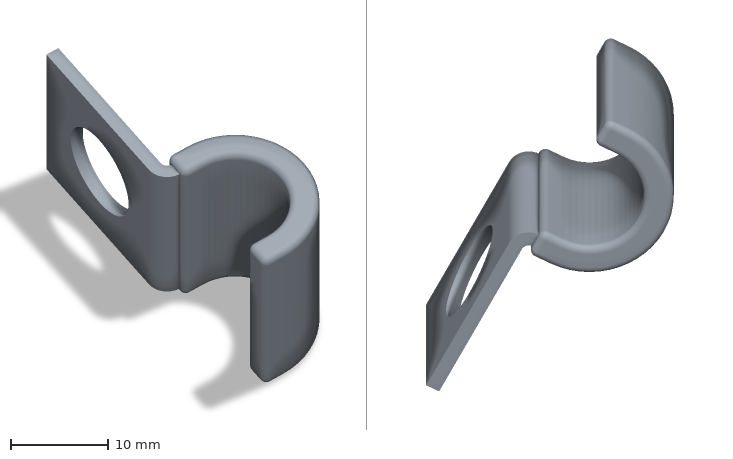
import cadquery as cq

length = 35.65
depth = 13.45
cushion_height = 20.65

sheet = 1.5
cover = 0.8
cushion_thickness = sheet + 2 * cover
outer_radius = 8.65
inner_radius = outer_radius - cushion_thickness
right_leg_length = 2.42
left_leg_length = 2.53
edge_radius = 0.75

tab_height = cushion_height - 2 * cover
hole_diameter = 10.35
hole_x = tab_height / 2
bend_inner_radius = cover
bend_outer_radius = bend_inner_radius + sheet

ring_x = length - outer_radius
ring_y = depth - outer_radius
right_leg_end_y = ring_y - right_leg_length
left_leg_end_y = ring_y - left_leg_length
strap_outer_x = ring_x - outer_radius + cover
strap_inner_x = strap_outer_x + sheet


def make_cushion():
    """U-shaped cushion with every sharp edge rounded."""
    profile = (
        cq.Workplane("XY")
        .workplane(offset=-cushion_height / 2)
        .moveTo(ring_x - outer_radius, left_leg_end_y)
        .lineTo(ring_x - outer_radius, ring_y)
        .threePointArc((ring_x, ring_y + outer_radius), (ring_x + outer_radius, ring_y))
        .lineTo(ring_x + outer_radius, right_leg_end_y)
        .lineTo(ring_x + inner_radius, right_leg_end_y)
        .lineTo(ring_x + inner_radius, ring_y)
        .threePointArc((ring_x, ring_y + inner_radius), (ring_x - inner_radius, ring_y))
        .lineTo(ring_x - inner_radius, left_leg_end_y)
        .close()
    )
    body = profile.extrude(cushion_height)
    return body.faces("|Z or -Y").edges().fillet(edge_radius)


def make_strap():
    """Flat tab bent back into the end of the left cushion leg."""
    strap = (
        cq.Workplane("XY")
        .workplane(offset=-tab_height / 2)
        .lineTo(strap_inner_x - bend_outer_radius, 0)
        .radiusArc((strap_inner_x, bend_outer_radius), -bend_outer_radius)
        .lineTo(strap_inner_x, ring_y)
        .lineTo(strap_outer_x, ring_y)
        .lineTo(strap_outer_x, bend_outer_radius)
        .radiusArc((strap_outer_x - bend_inner_radius, sheet), bend_inner_radius)
        .lineTo(0, sheet)
        .close()
        .extrude(tab_height)
    )
    hole = (
        cq.Workplane("XZ")
        .center(hole_x, 0)
        .circle(hole_diameter / 2)
        .extrude(-sheet)
    )
    return strap.cut(hole)


result = make_cushion().union(make_strap())